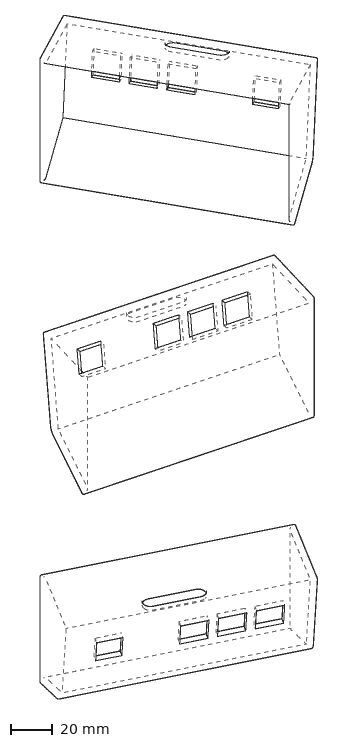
import cadquery as cq
import math

width = 128.0
depth = 40.0
height = 73.2
wall = 3.0
back_lean = 8.0
floor_slope = 30.0
back_corner_radius = 6.0
edge_radius = 1.0
rim_radius = 0.9

window_height = 14.0
window_drop = 22.3
key_width = 14.1
key_pitch = 19.0
key_count = 3
first_key_x = -40.8
side_window_width = 13.0
side_window_x = 39.5

slot_length = 32.0
slot_width = 8.0
slot_x = 5.6
slot_from_back = 8.0
slot_edge_radius = 0.5

lean_tan = math.tan(math.radians(back_lean))
lean_cos = math.cos(math.radians(back_lean))
slope_tan = math.tan(math.radians(floor_slope))
slope_cos = math.cos(math.radians(floor_slope))


def side_profile(inset):
    """Side outline in YZ, with the top, back and floor moved inwards by inset."""
    top = -inset
    back_at_zero = depth - inset / lean_cos
    front_bottom = -height + inset / slope_cos
    corner_y = (back_at_zero + front_bottom * lean_tan) / (1 - slope_tan * lean_tan)
    corner_z = front_bottom + corner_y * slope_tan
    return [
        (0, top),
        (back_at_zero + top * lean_tan, top),
        (corner_y, corner_z),
        (0, front_bottom),
    ]


def prism(inset):
    outline = cq.Workplane("YZ").polyline(side_profile(inset)).close()
    return outline.extrude(width / 2 - inset, both=True)


def outer_body():
    body = prism(0)
    corner_y, corner_z = side_profile(0)[2]
    back_corner = cq.selectors.NearestToPointSelector((0, corner_y, corner_z))
    body = body.edges(back_corner).fillet(back_corner_radius)
    return body.edges().fillet(edge_radius)


def cavity():
    return prism(wall)


def window_cutter(centre_x, window_width):
    inner_top_y = depth - wall / lean_cos
    return (
        cq.Workplane("XY")
        .box(window_width, 4 * wall, window_height)
        .translate((centre_x, 0, -window_drop))
        .rotate((0, 0, 0), (1, 0, 0), -back_lean)
        .translate((0, inner_top_y, 0))
    )


def slot_cutter():
    return (
        cq.Workplane("XY", origin=(slot_x, depth - slot_from_back, 0))
        .slot2D(slot_length, slot_width)
        .extrude(-wall)
    )


def round_rim(body):
    """Round the inner edge of the open front."""
    margin = wall / 2
    mouth = cq.selectors.BoxSelector(
        (-width / 2 + margin, -margin / 2, -height + margin),
        (width / 2 - margin, margin / 2, -margin),
    )
    return body.edges(mouth).fillet(rim_radius)


def round_slot(body):
    """Round the slot's upper edge."""
    slot_y = depth - slot_from_back
    reach = slot_edge_radius
    slot_top = cq.selectors.BoxSelector(
        (slot_x - slot_length / 2 - reach, slot_y - slot_width / 2 - reach, -reach),
        (slot_x + slot_length / 2 + reach, slot_y + slot_width / 2 + reach, reach),
    )
    return body.edges(slot_top).fillet(slot_edge_radius)


result = round_rim(outer_body().cut(cavity()))
result = round_slot(result.cut(slot_cutter()))
for key in range(key_count):
    result = result.cut(window_cutter(first_key_x + key * key_pitch, key_width))
result = result.cut(window_cutter(side_window_x, side_window_width))